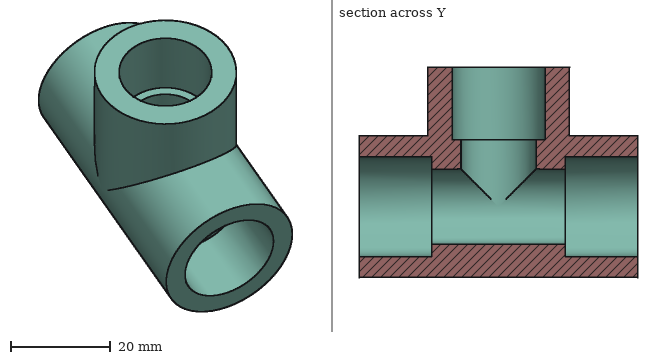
import cadquery as cq

run_length = 56.0
body_diameter = 28.5
bore_diameter = 15.0
run_socket_diameter = 20.0
branch_socket_diameter = 18.6
socket_depth = 14.55

run_half_length = run_length / 2
branch_height = run_half_length


def run_cylinder(diameter, start_x, length):
    """Cylinder on the run axis, extending along +X from start_x."""
    return cq.Workplane("YZ").workplane(offset=start_x).circle(diameter / 2).extrude(length)


def branch_cylinder(diameter, start_z, length):
    """Cylinder on the branch axis, extending along +Z from start_z."""
    return cq.Workplane("XY").workplane(offset=start_z).circle(diameter / 2).extrude(length)


body = run_cylinder(body_diameter, -run_half_length, run_length)
body = body.union(branch_cylinder(body_diameter, 0, branch_height))

body = body.cut(run_cylinder(bore_diameter, -run_half_length, run_length))
body = body.cut(branch_cylinder(bore_diameter, 0, branch_height))

for socket_start in (-run_half_length, run_half_length - socket_depth):
    body = body.cut(run_cylinder(run_socket_diameter, socket_start, socket_depth))
body = body.cut(branch_cylinder(branch_socket_diameter, branch_height - socket_depth, socket_depth))

result = body